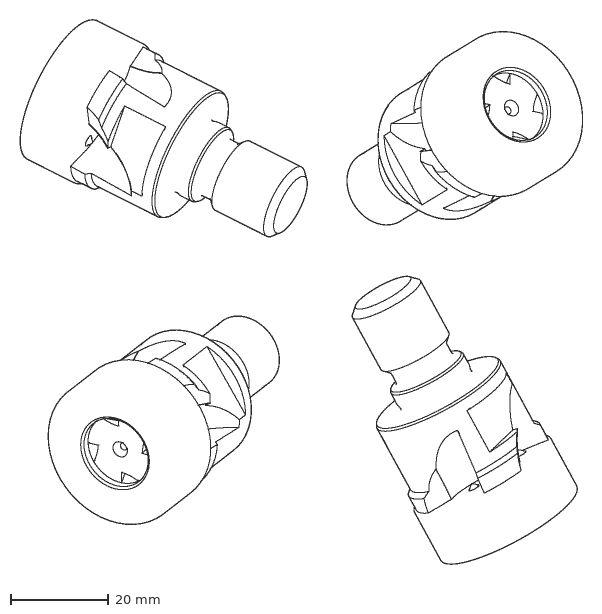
import cadquery as cq
import math


ring_radius = 16.0
ring_edge_fillet = 0.4
ring_hub_back = 12.65
ring_hub_radius = 9.7
ring_rim_back = 12.15
recess_radius = 7.6
recess_rim_fillet = 0.5
recess_floor_radius = 4.4
recess_depth = 6.0

body_front = 2.2
shoulder_radius = 15.45
shoulder_end = 15.6
body_radius = 29.0 / 2
body_end = 31.9
body_chamfer_length = 0.5
body_chamfer_height = 0.3

relief_radius = 16.6 / 2
relief_fillet = 0.5
relief_end = 33.1
collar_radius = 17.0 / 2
collar_start = 33.75
collar_end = 36.97
collar_chamfer_length = 0.5
collar_chamfer_height = 0.3
neck_radius = 13.0 / 2
neck_fillet = 1.0
neck_end = 39.95
neck_cone_angle = 45.0
shank_radius = 16.0 / 2
shank_end = 56.0
shank_chamfer = 1.5

flute_count = 4
flute_tilt = 5.0
flute_face_height = 0.53
cutter_x = 7.55
cutter_distance = 27.75
cutter_radius = 23.15
cutter_corner_radius = 9.0
cutter_step_height = 7.45
cutter_outer_radius = 19.35
cutter_top_radius = 18.6
cutter_height = 18.0

tip_distance = 9.3
tip_height = 1.6
tip_radius = 1.2
tip_length = 1.0

flat_count = 2
flat_distance = 12.0
flat_start = 18.95
flat_end = 28.95
flat_angle = 34.2

centre_mouth_radius = 1.7
centre_drill_radius = 1.6 / 2
centre_drill_length = 2.0
centre_cone_angle = 60.0
drill_point_angle = 118.0


def cone_length(radius_change, full_angle):
    return radius_change / math.tan(math.radians(full_angle / 2))


def turned(profile):
    """Revolve a closed (X, radius) profile about the X axis."""
    return profile.close().revolve(360, (0, 0, 0), (1, 0, 0))


def around_axis(solid, count):
    """The solid and its copies, evenly spaced about the X axis."""
    step = 360 / count
    return [solid.rotate((0, 0, 0), (1, 0, 0), step * i) for i in range(count)]


def make_body():
    shoulder_drop = shoulder_radius - body_radius
    neck_start = collar_end + neck_fillet
    bend_length = neck_fillet * math.sin(math.radians(neck_cone_angle))
    bend_rise = neck_fillet * (1 - math.cos(math.radians(neck_cone_angle)))
    cone_start = neck_end + bend_length
    cone_height = shank_radius - neck_radius - bend_rise
    shank_start = cone_start + cone_height / math.tan(math.radians(neck_cone_angle))
    profile = (
        cq.Workplane("XY")
        .moveTo(body_front, 0)
        .lineTo(body_front, shoulder_radius)
        .lineTo(shoulder_end, shoulder_radius)
        .lineTo(shoulder_end + shoulder_drop, body_radius)
        .lineTo(body_end - body_chamfer_length, body_radius)
        .lineTo(body_end, body_radius - body_chamfer_height)
        .lineTo(body_end, relief_radius + relief_fillet)
        .radiusArc((body_end + relief_fillet, relief_radius), -relief_fillet)
        .lineTo(relief_end, relief_radius)
        .lineTo(collar_start, collar_radius)
        .lineTo(collar_end - collar_chamfer_length, collar_radius)
        .lineTo(collar_end, collar_radius - collar_chamfer_height)
        .lineTo(collar_end, neck_radius + neck_fillet)
        .radiusArc((neck_start, neck_radius), -neck_fillet)
        .lineTo(neck_end, neck_radius)
        .radiusArc((cone_start, neck_radius + bend_rise), -neck_fillet)
        .lineTo(shank_start, shank_radius)
        .lineTo(shank_end - shank_chamfer, shank_radius)
        .lineTo(shank_end, shank_radius - shank_chamfer)
        .lineTo(shank_end, 0)
    )
    return turned(profile)


def make_flute():
    """Disc with a rounded rim; its flat underside leaves the flute face."""
    sag = cutter_corner_radius - math.sqrt(cutter_corner_radius**2 - cutter_step_height**2)
    disc = (
        cq.Workplane("XZ")
        .lineTo(cutter_radius, 0)
        .radiusArc((cutter_radius - sag, cutter_step_height), -cutter_corner_radius)
        .lineTo(cutter_outer_radius, cutter_step_height)
        .lineTo(cutter_top_radius, cutter_height)
        .lineTo(0, cutter_height)
        .close()
        .revolve(360, (0, 0, 0), (0, 1, 0))
    )
    return (
        disc.translate((cutter_x, -cutter_distance, 0))
        .rotate((0, 0, 0), (0, 1, 0), flute_tilt)
        .translate((0, 0, flute_face_height))
    )


def make_wrench_flat():
    length = flat_end - flat_start
    return (
        cq.Workplane("XY")
        .box(length, body_radius, 2 * body_radius, centered=(False, False, True))
        .translate((flat_start, -flat_distance - body_radius, 0))
        .rotate((0, 0, 0), (1, 0, 0), -flat_angle)
    )


def make_ring():
    """Ring with a conical recess in front and a slightly raised hub behind."""
    profile = (
        cq.Workplane("XY")
        .moveTo(recess_depth, 0)
        .lineTo(recess_depth, recess_floor_radius)
        .lineTo(body_front, recess_radius)
        .lineTo(recess_rim_fillet, recess_radius)
        .radiusArc((0, recess_radius + recess_rim_fillet), -recess_rim_fillet)
        .lineTo(0, ring_radius - ring_edge_fillet)
        .radiusArc((ring_edge_fillet, ring_radius), ring_edge_fillet)
        .lineTo(ring_rim_back - ring_edge_fillet, ring_radius)
        .radiusArc((ring_rim_back, ring_radius - ring_edge_fillet), ring_edge_fillet)
        .lineTo(ring_hub_back, ring_hub_radius)
        .lineTo(ring_hub_back, 0)
    )
    return turned(profile)


def make_tip():
    base = cq.Vector(ring_hub_back, -tip_distance, tip_height)
    return cq.Workplane(cq.Solid.makeCone(tip_radius, 0, tip_length, base, cq.Vector(1, 0, 0)))


def make_centre_hole():
    cone_end = body_front + cone_length(centre_mouth_radius - centre_drill_radius, centre_cone_angle)
    drill_end = cone_end + centre_drill_length
    point_end = drill_end + cone_length(centre_drill_radius, drill_point_angle)
    profile = (
        cq.Workplane("XY")
        .moveTo(body_front, 0)
        .lineTo(body_front, centre_mouth_radius)
        .lineTo(cone_end, centre_drill_radius)
        .lineTo(drill_end, centre_drill_radius)
        .lineTo(point_end, 0)
    )
    return turned(profile)


body = make_body()
for flute in around_axis(make_flute(), flute_count):
    body = body.cut(flute)
for wrench_flat in around_axis(make_wrench_flat(), flat_count):
    body = body.cut(wrench_flat)

tool = body.union(make_ring())
for tip in around_axis(make_tip(), flute_count):
    tool = tool.union(tip)

result = tool.cut(make_centre_hole())